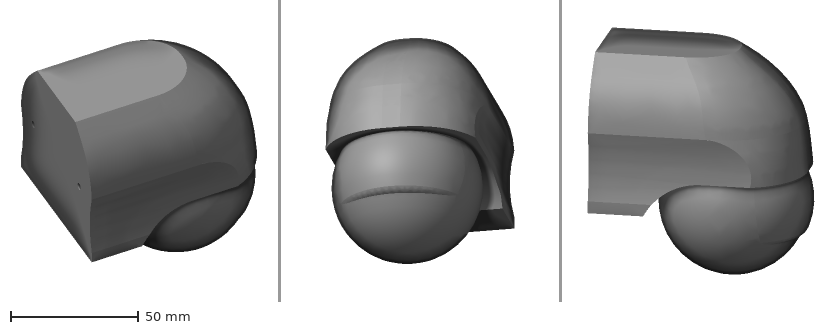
import cadquery as cq

half_width = 31.75
base_z = 30.2
hood_z = 43.9
shoulder_z = 63.0
top_z = 92.0

shoulder_section = (shoulder_z, half_width, 47.4, 80.3, 3.7)
skirt_sections = [
    (hood_z, half_width, 55.7, 82.8, 3.7),
    (53.4, half_width, 54.3, 81.9, 3.7),
    shoulder_section,
]
crown_sections = [
    shoulder_section,
    (70.9, 30.55, 45.9, 77.1, 3.7),
    (77.3, 28.25, 44.6, 72.4, 3.7),
    (84.7, 23.65, 41.2, 64.7, 3.7),
    (top_z, 17.0, 36.35, 55.0, 1.1),
]

sweep_start_y = 22.1
sweep_end_y = 45.1

waist_bottom_z = 35.1
waist_half_width = 29.9

ball_radius = 29.8
ball_y = 52.4
ball_z = ball_radius

visor_radius = 28.4
visor_front_y = 84.0
visor_center_z = 30.2
visor_bottom_z = 17.2
visor_edge_radius = 3.7

hole_diameter = 2.9
hole_x = 20.5
hole_z = 61.0
hole_depth = 9.2


def hood_outline(z, half, nose_start, nose_tip, strip_half):
    """Rectangle from the rear face, closed by two elliptical corners and a flat tip."""
    corner_width = half - strip_half
    corner_length = nose_tip - nose_start
    outline = (
        cq.Workplane("XY", origin=(0, 0, z))
        .moveTo(-half, 0)
        .lineTo(half, 0)
        .lineTo(half, nose_start)
        .ellipseArc(corner_width, corner_length, 0, 90, startAtCurrent=True)
        .lineTo(-strip_half, nose_tip)
        .ellipseArc(corner_width, corner_length, 90, 180, startAtCurrent=True)
        .close()
    )
    return outline.val()


def loft_through(sections):
    return cq.Workplane(cq.Solid.makeLoft([hood_outline(*section) for section in sections]))


def make_hood():
    """Straight-sided skirt up to the shoulder, then a crown curving in to the flat top."""
    return loft_through(skirt_sections).union(loft_through(crown_sections))


def make_rear_block():
    """Block under the hood whose front face curves up into the hood rim."""
    run = sweep_end_y - sweep_start_y
    rise = hood_z - base_z
    sweep_radius = (run ** 2 + rise ** 2) / (2 * rise)
    mid_y = sweep_end_y - run / 2
    mid_z = hood_z - sweep_radius + (sweep_radius ** 2 - (run / 2) ** 2) ** 0.5
    return (
        cq.Workplane("YZ")
        .moveTo(0, base_z)
        .lineTo(sweep_start_y, base_z)
        .threePointArc((mid_y, mid_z), (sweep_end_y, hood_z))
        .lineTo(0, hood_z)
        .close()
        .extrude(half_width, both=True)
    )


def make_waist(side):
    """Shallow cylindrical cut along one flank (side is -1 or +1)."""
    x = side * half_width
    return (
        cq.Workplane("XZ")
        .moveTo(x, waist_bottom_z)
        .threePointArc(
            (side * waist_half_width, (waist_bottom_z + shoulder_z) / 2), (x, shoulder_z)
        )
        .close()
        .extrude(-visor_front_y)
    )


def make_ball():
    return cq.Workplane("XY").sphere(ball_radius).translate((0, ball_y, ball_z))


def make_visor():
    """Band of a smaller sphere set forward of the ball, rounded top and bottom."""
    height = hood_z - visor_bottom_z
    center_y = visor_front_y - visor_radius
    band = (
        cq.Workplane("XY", origin=(0, 0, visor_bottom_z))
        .center(0, center_y)
        .circle(visor_radius)
        .extrude(height)
    )
    return (
        cq.Workplane("XY")
        .sphere(visor_radius)
        .translate((0, center_y, visor_center_z))
        .intersect(band)
        .faces("|Z")
        .edges()
        .fillet(visor_edge_radius)
    )


def make_holes():
    return (
        cq.Workplane("XZ")
        .pushPoints([(-hole_x, hole_z), (hole_x, hole_z)])
        .circle(hole_diameter / 2)
        .extrude(-hole_depth)
    )


body = make_hood().union(make_rear_block())
for side in (-1, 1):
    body = body.cut(make_waist(side))

result = body.union(make_ball()).union(make_visor()).cut(make_holes())